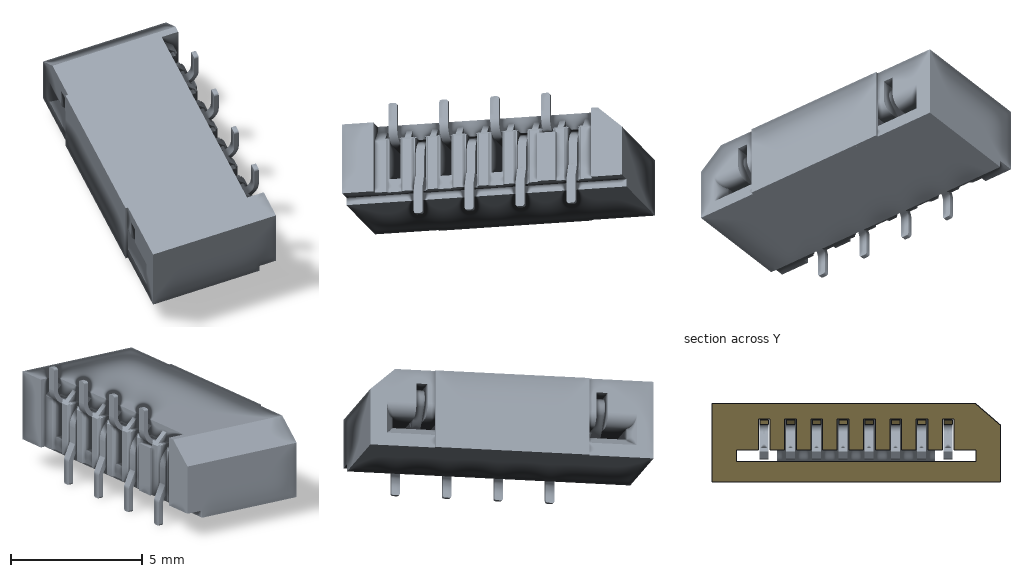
import cadquery as cq
import math


length = 11.0
height = 3.0
depth = 5.06
overall_height = 4.4
corner_chamfer_x = 0.96
corner_chamfer_z = 0.82

cover_length = 6.0
cover_thickness = 0.1

slot_floor = 0.8
slot_height = 0.42
slot_depth = 3.3
mouth_length = 9.7
mouth_flare = 0.31
mouth_depth = 0.48
slot_length = mouth_length - 2 * mouth_flare
slot_ceiling = slot_floor + slot_height

contact_count = 8
pitch = 11 / 11
contact_width = 0.34
strip_thickness = 0.19
half_strip = strip_thickness / 2
tip_fillet = 0.09
tail_overhang = 0.04
tail_reach = (overall_height - height) / 2

beam_top = 2.38
beam_z = beam_top - half_strip
tail_y = depth + tail_overhang - half_strip
upper_bend_radius = 0.54
lower_bend_radius = 0.74
joggle = 0.28
joggle_angle = 24.0
joggle_z = 0.26
joggle_radius = 0.15
lower_drop_y = tail_y - joggle
nose_radius = 0.31
touch_y = 1.31
touch_z = 0.9
touch_radius = 0.13
end_rise = 0.33

cavity_width = 0.43
cavity_mouth_top = 2.48
ceiling_taper_end = 3.96

rear_step = 0.68
bottom_step_height = 0.29
comb_length = 8.54
comb_recess = 0.22
pocket_width = 0.76
pocket_floor = 2.41
pocket_edge_bevel = 0.07
tooth_gap_outer = 0.66
tooth_gap_inner = 0.5
tooth_gap_depth = 0.09
comb_front = depth - rear_step
comb_back = depth - comb_recess
gap_bottom_y = comb_back - tooth_gap_depth

key_index = 1
key_recess = 0.1
key_width = 0.73


def contact_x(index):
    return (index - (contact_count - 1) / 2) * pitch


def is_upper(index):
    """Contacts alternate: even ones have a tail going down, odd ones going up."""
    return index % 2 == 1


def centred_box(x, x_size, y_range, z_range):
    """Box centred on x, between two Y values and two Z values."""
    y0, y1 = y_range
    z0, z1 = z_range
    box = cq.Workplane("XY").box(x_size, y1 - y0, z1 - z0, centered=(True, False, False))
    return box.translate((x, y0, z0))


def side_prism(points, x, x_size):
    """Extrudes a closed (Y, Z) outline along X, centred on x."""
    outline = cq.Workplane("YZ").polyline(points).close()
    return outline.extrude(x_size / 2, both=True).translate((x, 0, 0))


def make_block():
    half = length / 2
    outline = [
        (-half, 0),
        (half, 0),
        (half, height),
        (-half + corner_chamfer_x, height),
        (-half, height - corner_chamfer_z),
    ]
    block = cq.Workplane("XZ").polyline(outline).close().extrude(-depth)
    bottom_step = centred_box(0, length, (comb_front, depth), (0, bottom_step_height))
    return block.cut(bottom_step)


def cable_slot():
    """Flat slot whose mouth flares at the sides and floor and is rounded at the ceiling."""
    slot = centred_box(0, slot_length, (0, slot_depth), (slot_floor, slot_ceiling))
    side_profile = (
        cq.Workplane("YZ")
        .moveTo(0, slot_floor - mouth_flare)
        .lineTo(mouth_depth, slot_floor)
        .lineTo(mouth_depth, slot_ceiling)
        .radiusArc((0, slot_ceiling + mouth_depth), mouth_depth)
        .close()
        .extrude(mouth_length / 2, both=True)
    )
    plan = [
        (-mouth_length / 2, 0),
        (mouth_length / 2, 0),
        (slot_length / 2, mouth_depth),
        (-slot_length / 2, mouth_depth),
    ]
    mouth = cq.Workplane("XY").polyline(plan).close().extrude(height).intersect(side_profile)
    return slot.union(mouth)


def comb_relief():
    """Space above the sloping comb, and behind it between the two end wings."""
    slope_top = pocket_floor + gap_bottom_y - comb_front
    slope_end = pocket_floor + gap_bottom_y - comb_back
    outline = [
        (comb_front, height),
        (comb_front, slope_top),
        (comb_back, slope_end),
        (comb_back, 0),
        (depth, 0),
        (depth, height),
    ]
    return side_prism(outline, 0, comb_length)


def contact_pocket(x):
    """Level-floored pocket with a bevelled back edge and a tapered gap behind it."""
    outline = [
        (comb_front, height),
        (comb_front, pocket_floor),
        (gap_bottom_y - pocket_edge_bevel, pocket_floor),
        (gap_bottom_y, pocket_floor - pocket_edge_bevel),
        (gap_bottom_y, height),
    ]
    pocket = side_prism(outline, x, pocket_width)
    gap_plan = [
        (x - tooth_gap_outer / 2, comb_back),
        (x + tooth_gap_outer / 2, comb_back),
        (x + tooth_gap_inner / 2, gap_bottom_y),
        (x - tooth_gap_inner / 2, gap_bottom_y),
    ]
    gap = cq.Workplane("XY").polyline(gap_plan).close().extrude(height)
    return pocket.union(gap)


def contact_cavity(index):
    """Passage right through the housing, widened at the back where the tail leaves it."""
    x = contact_x(index)
    outline = [
        (0, slot_floor),
        (depth, slot_floor),
        (depth, beam_top),
        (ceiling_taper_end, beam_top),
        (0, cavity_mouth_top),
    ]
    cavity = side_prism(outline, x, cavity_width)
    if is_upper(index):
        slit_front = tail_y - upper_bend_radius
    else:
        slit_front = comb_front
        drop_front = lower_drop_y - half_strip
        cavity = cavity.union(centred_box(x, cavity_width, (drop_front, depth), (0, slot_floor)))
    slit = centred_box(x, contact_width, (slit_front, depth), (slot_floor, pocket_floor))
    return cavity.union(slit)


def key_tab():
    beam_underside = beam_top - strip_thickness
    y_range = (gap_bottom_y, depth - key_recess)
    return centred_box(contact_x(key_index), key_width, y_range, (bottom_step_height, beam_underside))


def make_housing():
    housing = make_block().cut(cable_slot()).cut(comb_relief())
    for index in range(contact_count):
        housing = housing.cut(contact_pocket(contact_x(index)))
        housing = housing.cut(contact_cavity(index))
    return housing.union(key_tab())


def make_cover():
    return centred_box(0, cover_length, (-cover_thickness, 0), (0, height))


def rounded_path(corners, radii):
    """Line-and-arc path in the YZ plane; radii belong to the inner corners in turn."""
    path = cq.Workplane("YZ").moveTo(*corners[0])
    for before, corner, after, radius in zip(corners, corners[1:], corners[2:], radii):
        corner = cq.Vector(*corner)
        back = (cq.Vector(*before) - corner).normalized()
        ahead = (cq.Vector(*after) - corner).normalized()
        half_angle = back.getAngle(ahead) / 2
        setback = radius / math.tan(half_angle)
        bisector = (back + ahead).normalized()
        start = corner + back * setback
        middle = corner + bisector * (radius / math.sin(half_angle) - radius)
        end = corner + ahead * setback
        path = path.lineTo(start.x, start.y)
        path = path.threePointArc((middle.x, middle.y), (end.x, end.y))
    return path.lineTo(*corners[-1])


def make_contact(index):
    """Strip folded back at the nose to a sprung touch point; its tail bends up, or down with a joggle."""
    nose_corner_y = touch_y - (beam_z - touch_z)
    corners = [
        (touch_y + end_rise, touch_z + end_rise),
        (touch_y, touch_z),
        (nose_corner_y, beam_z),
    ]
    radii = [touch_radius, nose_radius]
    if is_upper(index):
        tip_z = height + tail_reach
        corners += [(tail_y, beam_z), (tail_y, tip_z)]
        radii.append(upper_bend_radius)
    else:
        tip_z = -tail_reach
        joggle_top_z = joggle_z + joggle / math.tan(math.radians(joggle_angle))
        corners += [(lower_drop_y, beam_z), (lower_drop_y, joggle_top_z), (tail_y, joggle_z), (tail_y, tip_z)]
        radii += [lower_bend_radius, joggle_radius, joggle_radius]

    start_y, start_z = corners[0]
    section_plane = cq.Plane(origin=(0, start_y, start_z), xDir=(1, 0, 0), normal=(0, -1, -1))
    section = cq.Workplane(section_plane).rect(contact_width, strip_thickness)
    strip = section.sweep(rounded_path(corners, radii))
    tip_edges = strip.faces(">Z" if is_upper(index) else "<Z").edges("|Y")
    return tip_edges.fillet(tip_fillet).translate((contact_x(index), 0, 0))


housing = make_housing()
cover = make_cover()
contacts = [make_contact(index) for index in range(contact_count)]

result = cq.Compound.makeCompound([housing.val(), cover.val(), *[contact.val() for contact in contacts]])